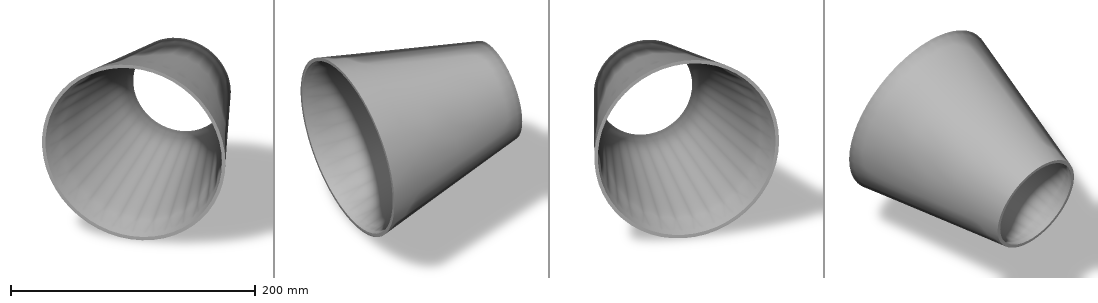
import cadquery as cq

large_diameter = 156.0
small_diameter = 86.0
length = 140.0
wall = 3.0

large_radius = large_diameter / 2
small_radius = small_diameter / 2

wall_section = (
    cq.Workplane("XY")
    .moveTo(large_radius - wall, 0)
    .lineTo(large_radius, 0)
    .lineTo(small_radius, length)
    .lineTo(small_radius - wall, length)
    .close()
)

result = wall_section.revolve(360, (0, 0, 0), (0, 1, 0))